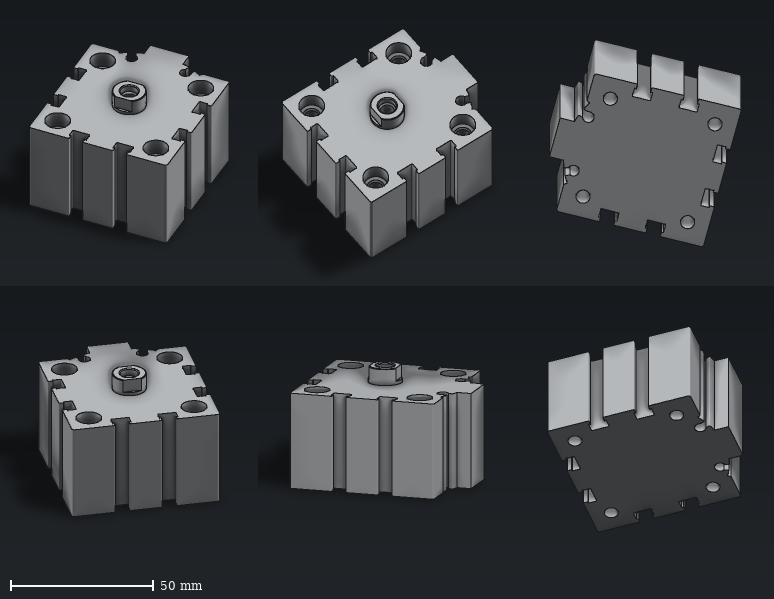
import cadquery as cq
import math

SIDE = 53.5
HALF_SIDE = SIDE / 2
TOTAL_LENGTH = 61.0
HOUSING_HEIGHT = 34.5
CORNER_RADIUS = 1.0

RAIL_HALF_WIDTH = 7.55
RAIL_TOP = TOTAL_LENGTH - HALF_SIDE
LUG_RADIUS = 30.0
NOTCH_OUTER_X = 16.3
NOTCH_BOTTOM_X = 15.5

KEYHOLE_ANGLE = 22.8
KEYHOLE_CENTER_RADIUS = 26.85
KEYHOLE_RADIUS = 2.0
KEYHOLE_NECK = 2.85
KEYHOLE_LIP_RADIUS = 0.3

SLOT_ANGLES = (0, 90, -90)
SLOT_OFFSET = 8.5
SLOT_MOUTH = 5.2
SLOT_WIDTH = 6.6
SLOT_LIP = 1.8
SLOT_DEPTH = 4.95
SLOT_EDGE_RADIUS = 0.35

HOLE_SPACING = 38.0
HOLE_DIAMETER = 4.95
COUNTERSINK_DIAMETER = 6.1
COUNTERBORE_DIAMETER = 9.0
COUNTERBORE_DEPTH = 6.0

ROD_DIAMETER = 12.0
ROD_TOP = 40.5
ROD_SEAT_DEPTH = 14.65
ROD_BOTTOM = HOUSING_HEIGHT - ROD_SEAT_DEPTH
ROD_CHAMFER = 0.25
FLAT_SPACING = 10.0
FLAT_LENGTH = 4.75

SOCKET_MOUTH_DIAMETER = 7.15
SOCKET_RECESS_DIAMETER = 6.4
SOCKET_RECESS_DEPTH = 2.75
SOCKET_BORE_DIAMETER = 4.95
SOCKET_DEPTH = 12.2
DRILL_POINT_ANGLE = 118.0


def lug_point(x):
    """Point of the lug arc at a given X."""
    return (x, math.sqrt(LUG_RADIUS**2 - x**2))


def round_vertical_edges(body, points, radius):
    """Round the housing's upright edges that pass through the given XY points."""
    nearest = [cq.NearestToPointSelector((x, y, HOUSING_HEIGHT / 2)) for x, y in points]
    edges = body.edges("|Z")
    picked = [edges.edges(selector).val() for selector in nearest]
    return body.newObject(picked).fillet(radius)


def make_block():
    """Square block with its rear rail, lugs and V notches."""
    arc_middle_x = (NOTCH_BOTTOM_X + RAIL_HALF_WIDTH) / 2
    block = (
        cq.Workplane("XY")
        .moveTo(-HALF_SIDE, -HALF_SIDE)
        .lineTo(HALF_SIDE, -HALF_SIDE)
        .lineTo(HALF_SIDE, HALF_SIDE)
        .lineTo(NOTCH_OUTER_X, HALF_SIDE)
        .lineTo(*lug_point(NOTCH_BOTTOM_X))
        .threePointArc(lug_point(arc_middle_x), lug_point(RAIL_HALF_WIDTH))
        .lineTo(RAIL_HALF_WIDTH, RAIL_TOP)
        .lineTo(-RAIL_HALF_WIDTH, RAIL_TOP)
        .lineTo(*lug_point(-RAIL_HALF_WIDTH))
        .threePointArc(lug_point(-arc_middle_x), lug_point(-NOTCH_BOTTOM_X))
        .lineTo(-NOTCH_OUTER_X, HALF_SIDE)
        .lineTo(-HALF_SIDE, HALF_SIDE)
        .close()
        .extrude(HOUSING_HEIGHT)
    )
    corners = [(x, y) for x in (-HALF_SIDE, HALF_SIDE) for y in (-HALF_SIDE, HALF_SIDE)]
    return round_vertical_edges(block, corners, CORNER_RADIUS)


def cut_keyhole(block, side):
    """Cut one keyhole groove through a lug; side is +1 for the +X lug and -1 for the -X lug."""
    neck_length = RAIL_TOP - KEYHOLE_CENTER_RADIUS
    groove = (
        cq.Workplane("XY")
        .center(0, KEYHOLE_CENTER_RADIUS)
        .circle(KEYHOLE_RADIUS)
        .extrude(HOUSING_HEIGHT)
        .center(0, neck_length / 2)
        .rect(KEYHOLE_NECK, neck_length)
        .extrude(HOUSING_HEIGHT)
        .rotate((0, 0, 0), (0, 0, 1), -side * KEYHOLE_ANGLE)
    )
    lip_angle = math.radians(KEYHOLE_ANGLE) - math.asin(KEYHOLE_NECK / 2 / LUG_RADIUS)
    rail_lip = lug_point(side * LUG_RADIUS * math.sin(lip_angle))
    return round_vertical_edges(block.cut(groove), [rail_lip], KEYHOLE_LIP_RADIUS)


def cut_slot(block, offset, angle):
    """Cut one T-slot, offset along the -Y side and then turned about the rod axis."""
    slot = (
        cq.Workplane("XY")
        .center(offset, -HALF_SIDE + SLOT_DEPTH / 2)
        .rect(SLOT_MOUTH, SLOT_DEPTH)
        .extrude(HOUSING_HEIGHT)
        .center(0, SLOT_LIP / 2)
        .rect(SLOT_WIDTH, SLOT_DEPTH - SLOT_LIP)
        .extrude(HOUSING_HEIGHT)
        .rotate((0, 0, 0), (0, 0, 1), angle)
    )
    turn = math.radians(angle)
    rounded = []
    for width, depth in ((SLOT_MOUTH, 0), (SLOT_WIDTH, SLOT_DEPTH)):
        for side in (-1, 1):
            x = offset + side * width / 2
            y = -HALF_SIDE + depth
            rounded.append(
                (x * math.cos(turn) - y * math.sin(turn), x * math.sin(turn) + y * math.cos(turn))
            )
    return round_vertical_edges(block.cut(slot), rounded, SLOT_EDGE_RADIUS)


def cut_mounting_holes(block):
    """Cut the four through holes, each with a counterbore and a countersink at its floor."""
    radius = HOLE_DIAMETER / 2
    sink_radius = COUNTERSINK_DIAMETER / 2
    bore_radius = COUNTERBORE_DIAMETER / 2
    floor = HOUSING_HEIGHT - COUNTERBORE_DEPTH
    sink_bottom = floor - (sink_radius - radius)
    hole = (
        cq.Workplane("XZ")
        .moveTo(0, 0)
        .lineTo(radius, 0)
        .lineTo(radius, sink_bottom)
        .lineTo(sink_radius, floor)
        .lineTo(bore_radius, floor)
        .lineTo(bore_radius, HOUSING_HEIGHT)
        .lineTo(0, HOUSING_HEIGHT)
        .close()
        .revolve(360, (0, 0, 0), (0, 1, 0))
    )
    half_spacing = HOLE_SPACING / 2
    for x in (-half_spacing, half_spacing):
        for y in (-half_spacing, half_spacing):
            block = block.cut(hole.translate((x, y, 0)))
    return block


def make_housing():
    """Housing with its grooves, slots, mounting holes and the blind bore for the rod."""
    body = make_block()
    for side in (-1, 1):
        body = cut_keyhole(body, side)
    for angle in SLOT_ANGLES:
        for offset in (-SLOT_OFFSET, SLOT_OFFSET):
            body = cut_slot(body, offset, angle)
    body = cut_mounting_holes(body)
    rod_bore = (
        cq.Workplane("XY", origin=(0, 0, ROD_BOTTOM))
        .circle(ROD_DIAMETER / 2)
        .extrude(ROD_SEAT_DEPTH)
    )
    return body.cut(rod_bore)


def make_socket():
    """Cutter for the stepped rod socket: mouth chamfer, recess, conical step, bore, drill point."""
    mouth_radius = SOCKET_MOUTH_DIAMETER / 2
    recess_radius = SOCKET_RECESS_DIAMETER / 2
    bore_radius = SOCKET_BORE_DIAMETER / 2
    recess_floor = ROD_TOP - SOCKET_RECESS_DEPTH
    bore_floor = ROD_TOP - SOCKET_DEPTH
    cone_slope = math.tan(math.radians(DRILL_POINT_ANGLE / 2))
    point_length = bore_radius / cone_slope
    step_length = (recess_radius - bore_radius) / cone_slope
    return (
        cq.Workplane("XZ")
        .moveTo(0, bore_floor - point_length)
        .lineTo(bore_radius, bore_floor)
        .lineTo(bore_radius, recess_floor - step_length)
        .lineTo(recess_radius, recess_floor)
        .lineTo(recess_radius, ROD_TOP - (mouth_radius - recess_radius))
        .lineTo(mouth_radius, ROD_TOP)
        .lineTo(0, ROD_TOP)
        .close()
        .revolve(360, (0, 0, 0), (0, 1, 0))
    )


def make_rod():
    """Round rod with a chamfered end, two wrench flats facing -Y and +Y, and the socket."""
    body = (
        cq.Workplane("XY", origin=(0, 0, ROD_BOTTOM))
        .circle(ROD_DIAMETER / 2)
        .extrude(ROD_TOP - ROD_BOTTOM)
        .faces(">Z")
        .chamfer(ROD_CHAMFER)
    )
    slab_depth = (ROD_DIAMETER - FLAT_SPACING) / 2
    slab_offset = (FLAT_SPACING + slab_depth) / 2
    flats = (
        cq.Workplane("XY", origin=(0, 0, ROD_TOP - FLAT_LENGTH))
        .pushPoints([(0, -slab_offset), (0, slab_offset)])
        .rect(ROD_DIAMETER, slab_depth)
        .extrude(FLAT_LENGTH)
    )
    return body.cut(flats).cut(make_socket())


housing = make_housing()
rod = make_rod()
result = cq.Compound.makeCompound([housing.val(), rod.val()])